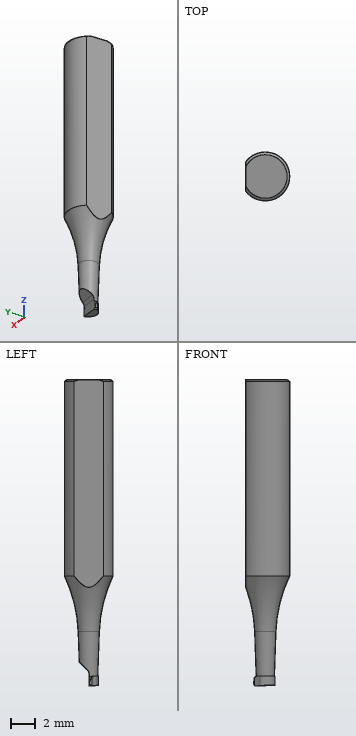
import cadquery as cq
import math

total_length = 25.0
shank_radius = 2.0
shank_start = 9.0
flat_distance = 1.6
top_chamfer_width = 0.22
top_chamfer_height = 0.15

neck_top = 4.45
neck_top_radius = 0.88
neck_bottom = 0.8
neck_bottom_radius = 0.75

rake_y = -0.02
relief_start = 1.95
relief_blend = 0.5
relief_angle = math.radians(45)

head_radius = 0.8
edge_reach = 0.98
corner_x = -0.8
corner_height = 0.18
heel_height = 0.08
shoulder_x = -0.9
shoulder_height = 0.68
flank_depth = 0.28
flank_inset = 0.1
heel_flat_x = -0.45
end_relief_rise = 0.05


def make_body():
    """Revolve the shank, the curved transition and the tapered neck."""
    return (
        cq.Workplane("XZ")
        .moveTo(0, neck_bottom)
        .lineTo(neck_bottom_radius, neck_bottom)
        .lineTo(neck_top_radius, neck_top)
        .tangentArcPoint((shank_radius, shank_start), relative=False)
        .lineTo(shank_radius, total_length - top_chamfer_height)
        .lineTo(shank_radius - top_chamfer_width, total_length)
        .lineTo(0, total_length)
        .close()
        .revolve(360, (0, 0, 0), (0, 1, 0))
    )


def make_flat_cutter():
    """Block outside the clamping flat on the -X side."""
    side = 2 * shank_radius
    block = cq.Workplane("XY").box(side, side, total_length, centered=(True, True, False))
    return block.translate((-flat_distance - side / 2, 0, 0))


def make_relief_cutter():
    """Remove the +Y half of the tip, with a blended sloping run-out."""
    slope_end = relief_start - (neck_bottom_radius - rake_y) / math.tan(relief_angle)
    outer_y = shank_radius
    outer_z = slope_end + (outer_y - rake_y) / math.tan(relief_angle)
    return (
        cq.Workplane("YZ")
        .polyline([(rake_y, 0), (rake_y, slope_end), (outer_y, outer_z), (outer_y, 0)])
        .close()
        .extrude(shank_radius, both=True)
        .edges(cq.selectors.NearestToPointSelector((0, rake_y, slope_end)))
        .fillet(relief_blend)
    )


def make_head():
    """Cutting head: the tooth profile swept back, trimmed to the flank outline."""
    profile = cq.Wire.makePolygon(
        [
            cq.Vector(x, rake_y, z)
            for x, z in [
                (corner_x, 0),
                (head_radius, heel_height),
                (head_radius, neck_bottom),
                (-neck_bottom_radius, neck_bottom),
                (shoulder_x, shoulder_height),
                (-edge_reach, corner_height),
            ]
        ],
        close=True,
    )
    sweep = cq.Vector(0, -head_radius, end_relief_rise)
    tooth = cq.Workplane(cq.Solid.extrudeLinear(profile, [], sweep))
    heel_flat_y = -math.sqrt(head_radius**2 - heel_flat_x**2)
    arc_middle = head_radius * math.sqrt(0.5)
    outline = (
        cq.Workplane("XY")
        .moveTo(head_radius, 0)
        .lineTo(-edge_reach, 0)
        .lineTo(-edge_reach + flank_inset, -flank_depth)
        .lineTo(heel_flat_x, heel_flat_y)
        .threePointArc((arc_middle, -arc_middle), (head_radius, 0))
        .close()
        .extrude(neck_bottom + end_relief_rise)
    )
    return tooth.intersect(outline)


body = make_body().cut(make_flat_cutter()).cut(make_relief_cutter())
result = body.union(make_head())